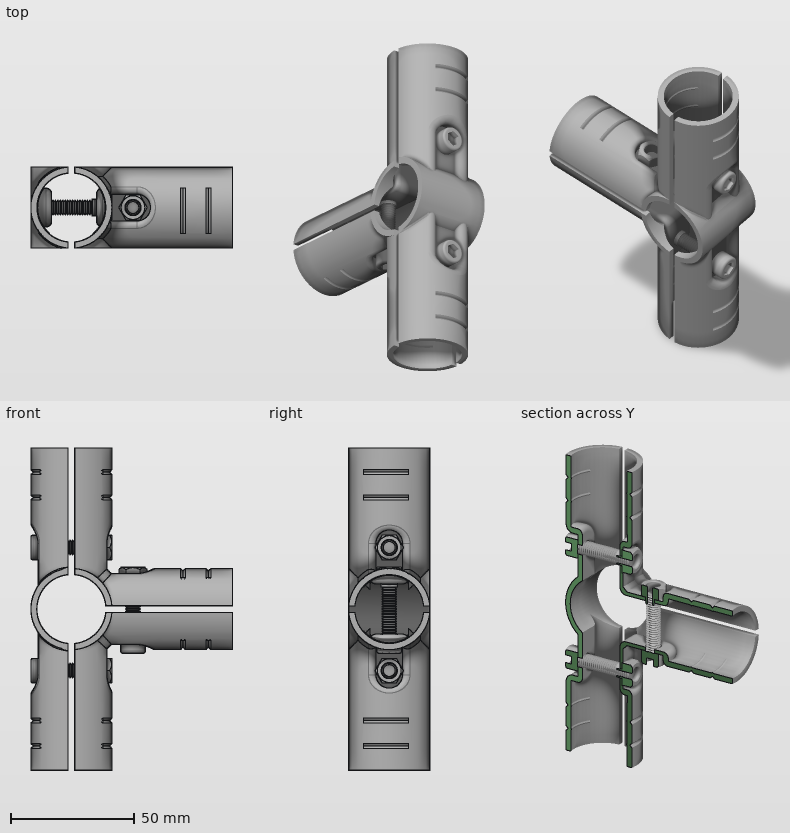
import cadquery as cq
import math

outer_radius = 16.5
bore_radius = 14.0
wall = outer_radius - bore_radius
hub_length = 2 * outer_radius
arm_length = 65.5
half_gap = 1.3

pocket_half_width = 5.4
pocket_end_center = 26.7
head_floor_left = 10.5
elbow_floor = 12.0
elbow_boss_face = 10.2
left_rim_fillet = 3.0
elbow_rim_fillet = 2.0
boss_half_width = pocket_half_width + wall
boss_fillet = 2.4
elbow_corner_fillet = 3.0

left_seam_half_width = 0.423
left_seam_trim = 4.2
elbow_seam_bevel = 1.7

bead_positions = (45.3, 55.6)
bead_half_length = 9.15
bead_offset = 1.3
groove_width = 2.0
groove_depth = 1.0
rib_width = 1.2
rib_height = 0.3

screw_position = 25.0
screw_radius = 3.0
screw_length = 25.0
thread_pitch = 1.0
thread_depth = 0.6
head_radius = 5.0
head_height = 6.0
head_fillet = 0.9
socket_across_flats = 5.5
socket_depth = 3.0

nut_across_flats = 10.0
nut_height = 5.0
nut_top_radius = 4.8
nut_chamfer_height = 1.0
nut_mouth_chamfer = 0.3
sleeve_radius = 3.4
sleeve_length = 3.1
nut_recess = 0.5

hex_corner_factor = 2 / math.sqrt(3)
reach = 2 * outer_radius
margin = 0.1
same_place = 0.001
swap_axis = (1, 0, 1)
origin = (0, 0, 0)


def swap_x_and_z(part):
    """Half turn about the XZ diagonal, which carries +Z onto +X and +X onto +Z."""
    return part.rotate(origin, swap_axis, 180)


def slot_prism(half_width, floor, start):
    """Prism along +X from `floor` to the pipe's outside, slot shaped with its round end up the arm."""
    return (
        cq.Workplane("YZ", origin=(floor, 0, 0))
        .moveTo(-half_width, start)
        .lineTo(half_width, start)
        .lineTo(half_width, pocket_end_center)
        .threePointArc((0, pocket_end_center + half_width), (-half_width, pocket_end_center))
        .close()
        .extrude(outer_radius - floor)
    )


def ring_segment(profile, middle):
    """Revolve a radius-height outline about Z and keep one bead facing +X, centred at Y = `middle`."""
    ring = cq.Workplane("XZ").polyline(profile).close().revolve(360, origin, (0, 1, 0))
    window = cq.Workplane("XY").box(
        reach, 2 * bead_half_length, 2 * arm_length, centered=(False, True, True)
    ).translate((0, middle, 0))
    return ring.intersect(window)


def groove(height, middle):
    """V groove round the outside, its flanks carried past the pipe surface."""
    overshoot = 1.0
    half_mouth = groove_width / 2 * (1 + overshoot / groove_depth)
    return ring_segment([
        (outer_radius - groove_depth, height),
        (outer_radius + overshoot, height - half_mouth),
        (outer_radius + overshoot, height + half_mouth),
    ], middle)


def rib(height, middle):
    """V rib round the bore, with a root sunk into the wall."""
    root_radius = bore_radius + wall / 4
    return ring_segment([
        (bore_radius - rib_height, height),
        (bore_radius, height - rib_width / 2),
        (root_radius, height - rib_width / 2),
        (root_radius, height + rib_width / 2),
        (bore_radius, height + rib_width / 2),
    ], middle)


def arm_half(floor, rim_fillet):
    """Solid half pipe along +Z facing +X, with its pocket and rounded pocket rim."""
    half_space = cq.Workplane("XY").box(
        reach, 2 * reach, arm_length, centered=(False, True, False)
    ).translate((half_gap, 0, 0))
    half = cq.Workplane("XY").circle(outer_radius).extrude(arm_length).intersect(half_space)
    half = half.cut(slot_prism(pocket_half_width, floor, 0))
    rim_box = cq.selectors.BoxSelector(
        (floor + margin, -pocket_half_width - margin, margin),
        (reach, pocket_half_width + margin, pocket_end_center + pocket_half_width + margin),
    )
    return half.edges(rim_box).fillet(rim_fillet)


def hub(corner, size):
    """The part of the solid hub cylinder inside a box given by its low corner and size."""
    block = cq.Workplane("XY").box(*size, centered=False).translate(corner)
    cylinder = cq.Workplane("XZ").circle(outer_radius).extrude(hub_length / 2, both=True)
    return cylinder.intersect(block)


def left_boss():
    """Solid left in the bores behind a left pocket, facing +X."""
    boss = slot_prism(boss_half_width, head_floor_left - wall, 0)
    return boss.faces("<X").edges("not <Z").fillet(boss_fillet)


def elbow_boss():
    """Solid left in the elbow bores behind both pockets, rounded where the two meet."""
    face = elbow_boss_face
    along_z = slot_prism(boss_half_width, face, face)
    boss = along_z.union(swap_x_and_z(along_z))
    low = (face - margin, -reach, face - margin)
    high = (face + margin, reach, face + margin)
    corner = cq.selectors.BoxSelector(low, high)
    boss = boss.edges(corner).edges("|Y").fillet(elbow_corner_fillet)
    return boss.faces("<X or <Z").edges("not |Y").fillet(boss_fillet)


def seam_bevel():
    """Flat strip that fills the seam of the hub and the upper left arm on the +Y side."""
    seam_plane = cq.Plane(origin=origin, xDir=(1, 0, 0), normal=(0, -1, 1))
    strip = (
        cq.Workplane(seam_plane)
        .center(0, left_seam_half_width)
        .ellipse(outer_radius, outer_radius * math.sqrt(2))
        .extrude(left_seam_half_width, both=True)
    )
    rim_line = outer_radius * (pocket_half_width + left_rim_fillet) / (outer_radius - left_rim_fillet)
    limit = cq.Workplane("XY").box(reach, reach, reach, centered=False).translate(
        (-reach - half_gap, rim_line, 0)
    )
    beyond_hub_end = cq.Workplane("XY").box(reach, reach, reach, centered=False).translate(
        (-left_seam_trim, hub_length / 2, 0)
    )
    return strip.intersect(limit).cut(beyond_hub_end)


hub_bore = cq.Workplane("XZ").circle(bore_radius).extrude(hub_length, both=True)
arm_bore = cq.Workplane("XY").circle(bore_radius).extrude(2 * arm_length)
screw_hole = (
    cq.Workplane("YZ").center(0, screw_position).circle(sleeve_radius).extrude(reach)
)


def arm_cuts(boss, bead_middle):
    """Everything removed from one arm half: bore less boss and ribs, screw hole and grooves."""
    cuts = arm_bore.cut(boss).union(screw_hole)
    for height in bead_positions:
        cuts = cuts.cut(rib(height, bead_middle)).union(groove(height, bead_middle))
    return cuts


def make_left_half():
    """Left half of the hub with an arm half up and one down."""
    arm = arm_half(head_floor_left, left_rim_fillet)
    upper = arm.rotate(origin, (0, 0, 1), 180)
    upper_cuts = arm_cuts(left_boss(), bead_offset).rotate(origin, (0, 0, 1), 180)
    body = hub((-reach, -reach, -reach), (reach - half_gap, 2 * reach, 2 * reach))
    body = body.union(upper).union(upper.mirror("XY"))
    bevel = seam_bevel()
    bevels = bevel.union(bevel.mirror("XZ"))
    body = body.union(bevels).union(bevels.mirror("XY"))
    return body.cut(hub_bore).cut(upper_cuts).cut(upper_cuts.mirror("XY"))


def nut_hex(height):
    """Hexagonal prism along +X with corners pointing along Y."""
    return cq.Workplane("YZ").polygon(6, nut_across_flats * hex_corner_factor).extrude(height)


def make_upper_elbow():
    """Upper right quarter of the hub with half of the vertical arm and half of the X arm."""
    quarter = cq.Workplane("XY").box(
        arm_length, 2 * reach, arm_length, centered=(False, True, False)
    ).translate((half_gap, 0, half_gap))
    arm = arm_half(elbow_floor, elbow_rim_fillet)
    body = arm.union(swap_x_and_z(arm)).intersect(quarter)
    body = body.union(hub((half_gap, -reach, half_gap), (reach, 2 * reach, reach)))
    edge_samples = (0, 0.3, 0.7, 1)
    seam = [
        edge for edge in body.edges().vals()
        if all(abs(point.x - point.z) < same_place for point in edge.positions(edge_samples))
        and edge.Center().x > bore_radius / 2
    ]
    body = body.newObject(seam).chamfer(elbow_seam_bevel)

    boss = elbow_boss()
    vertical_cuts = arm_cuts(boss, -bead_offset)
    level_cuts = swap_x_and_z(arm_cuts(boss, bead_offset))
    recess = nut_hex(reach).translate((elbow_floor - nut_recess, 0, screw_position))
    return body.cut(hub_bore).cut(vertical_cuts).cut(level_cuts).cut(recess)


def thread_points():
    """Outline above the X axis of a shank with one V groove per thread pitch and a tapered end."""
    core_radius = screw_radius - thread_depth
    points = [(0, 0), (0, screw_radius)]
    for turn in range(round(screw_length / thread_pitch)):
        crest = turn * thread_pitch
        points += [(crest + thread_pitch / 2, core_radius), (crest + thread_pitch, screw_radius)]
    points[-1] = (screw_length, core_radius)
    return points + [(screw_length, 0)]


def make_screw():
    """Screw along +X with the underside of its head at X = 0."""
    shank = (
        cq.Workplane("XY")
        .polyline(thread_points())
        .close()
        .revolve(360, origin, (1, 0, 0))
    )
    head = cq.Workplane("YZ").circle(head_radius).extrude(-head_height)
    head = head.faces("<X").edges().fillet(head_fillet)
    socket = (
        cq.Workplane("YZ", origin=(-head_height, 0, 0))
        .transformed(rotate=(0, 0, 90))
        .polygon(6, socket_across_flats * hex_corner_factor)
        .extrude(socket_depth)
    )
    return head.cut(socket).union(shank)


def make_nut():
    """Sleeve nut along +X with the underside of its hex at X = 0."""
    corner_radius = nut_across_flats * hex_corner_factor / 2
    cone_height = nut_height - nut_chamfer_height
    chamfer_body = (
        cq.Workplane("XY")
        .polyline([(0, 0), (0, corner_radius), (cone_height, corner_radius),
                   (nut_height, nut_top_radius), (nut_height, 0)])
        .close()
        .revolve(360, origin, (1, 0, 0))
    )
    sleeve = cq.Workplane("YZ").circle(sleeve_radius).extrude(-sleeve_length)
    thread = cq.Workplane("YZ", origin=(-sleeve_length, 0, 0)).circle(screw_radius).extrude(reach)
    nut = nut_hex(nut_height).intersect(chamfer_body).union(sleeve).cut(thread)
    mouth = nut.faces(">X").edges("%CIRCLE").edges(cq.selectors.RadiusNthSelector(0))
    return mouth.chamfer(nut_mouth_chamfer)


left_half = make_left_half()
upper_elbow = make_upper_elbow()
lower_elbow = upper_elbow.mirror("XY")
screw = make_screw()
nut = make_nut()

screws = []
nuts = []
for height in (screw_position, -screw_position):
    screws.append(screw.translate((-head_floor_left, 0, height)))
    nuts.append(nut.translate((elbow_floor - nut_recess, 0, height)))

turned_nut = nut.rotate(origin, (1, 0, 0), 90)
screws.append(swap_x_and_z(screw.translate((-elbow_floor, 0, screw_position))))
nuts.append(swap_x_and_z(turned_nut.translate((elbow_floor, 0, screw_position))))

bodies = [left_half, upper_elbow, lower_elbow, *screws, *nuts]
result = cq.Compound.makeCompound([body.solids().val() for body in bodies])